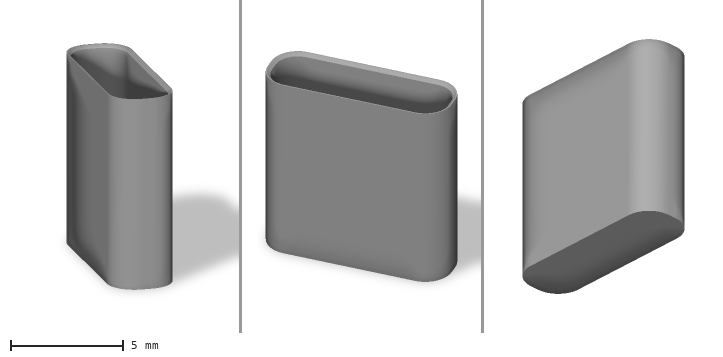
import cadquery as cq

length = 8.74
width = 2.96
height = 8.8
corner_radius = 1.25

wall = 0.2
floor_thickness = 0.2
rim_chamfer_width = 0.15
rim_chamfer_depth = 0.15


def rounded_block(inset, bottom, top):
    """Vertical block with rounded corners, inset evenly from the outer outline."""
    return (
        cq.Workplane("XY", origin=(0, 0, bottom))
        .rect(length - 2 * inset, width - 2 * inset)
        .extrude(top - bottom)
        .edges("|Z")
        .fillet(corner_radius - inset)
    )


shell = rounded_block(0, 0, height)
cavity = rounded_block(wall, floor_thickness, height)
cup = shell.cut(cavity)

inner_rim = cq.selectors.BoxSelector(
    (-length / 2 + wall / 2, -width / 2 + wall / 2, height - wall / 2),
    (length / 2 - wall / 2, width / 2 - wall / 2, height + wall / 2),
    boundingbox=True,
)
result = cup.edges(inner_rim).chamfer(rim_chamfer_depth, rim_chamfer_width)